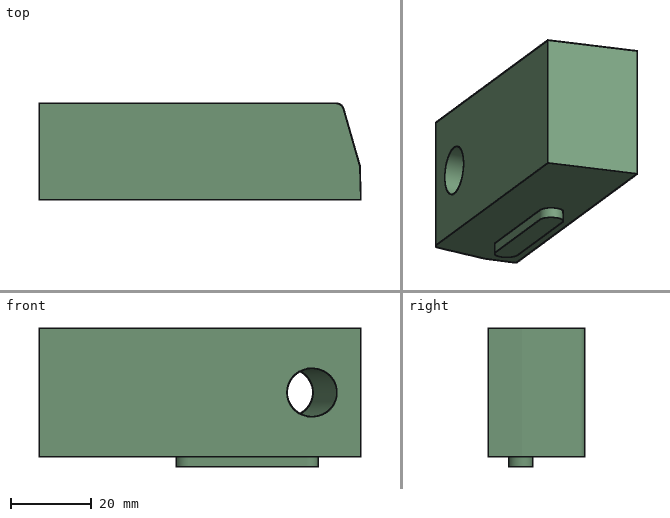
import cadquery as cq
import math

length = 80.0
width = 24.0
height = 32.0

end_flat_width = 8.4
end_flat_setback = 0.2
slant_angle = 16.0
slant_corner_radius = 2.0

hole_diameter = 12.0
hole_center_x = 67.8
hole_center_z = height / 2
hole_angle = 14.0

key_length = 35.4
key_width = 6.0
key_height = 2.5
key_center_x = 51.8
key_center_y = 8.1


def make_block():
    slant_run = (width - end_flat_width) * math.tan(math.radians(slant_angle))
    slant_start_x = length - end_flat_setback
    slant_top_x = slant_start_x - slant_run
    outline = [
        (0, 0),
        (length, 0),
        (slant_start_x, end_flat_width),
        (slant_top_x, width),
        (0, width),
    ]
    block = cq.Workplane("XY").polyline(outline).close().extrude(height)
    rounded_edge = cq.NearestToPointSelector((slant_top_x, width, height / 2))
    return block.edges(rounded_edge).fillet(slant_corner_radius)


def make_hole():
    overshoot = width
    cutter_length = width + 2 * overshoot
    angle = math.radians(hole_angle)
    axis = cq.Vector(-math.sin(angle), math.cos(angle), 0)
    start = cq.Vector(hole_center_x, 0, hole_center_z) - axis * overshoot
    return cq.Workplane(cq.Solid.makeCylinder(hole_diameter / 2, cutter_length, start, axis))


def make_key():
    return (
        cq.Workplane("XY")
        .center(key_center_x, key_center_y)
        .slot2D(key_length, key_width)
        .extrude(-key_height)
    )


result = make_block().cut(make_hole()).union(make_key())